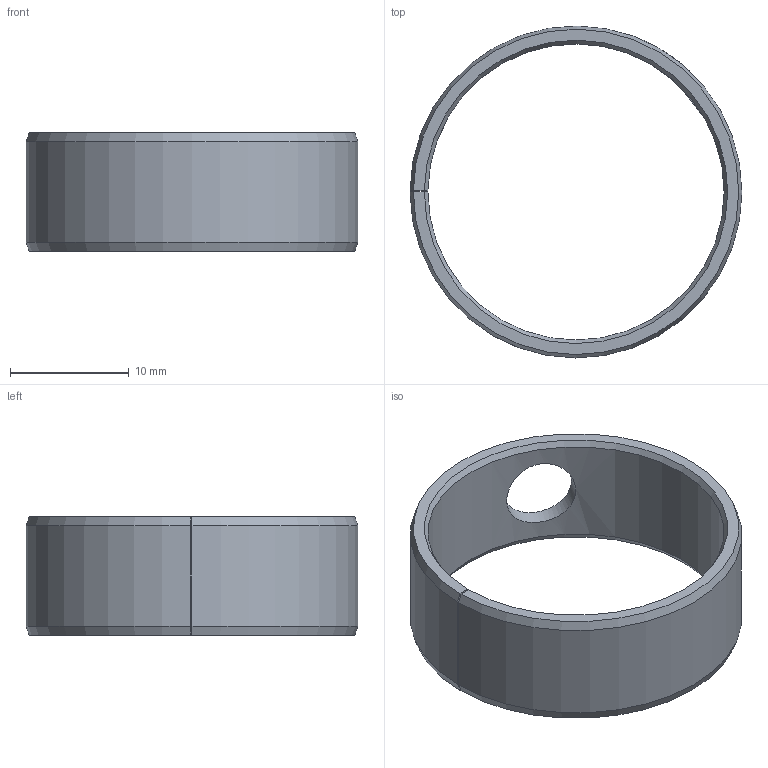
import math

import cadquery as cq

outer_diameter = 28.0
inner_diameter = 25.0
width = 10.0

outer_bevel_length = 0.75
outer_bevel_angle = 20.0
inner_bevel_length = 0.5
inner_bevel_depth = 0.3

split_angle = 0.5

hole_diameter = 6.0
hole_angle = 59.0

outer_radius = outer_diameter / 2
inner_radius = inner_diameter / 2
wall = outer_radius - inner_radius
half_width = width / 2
outer_bevel_depth = outer_bevel_length * math.tan(math.radians(outer_bevel_angle))


def make_split_ring():
    """Revolve the bevelled wall section about Z from the -X axis, stopping short by the split."""
    rim_outer = outer_radius - outer_bevel_depth
    rim_inner = inner_radius + inner_bevel_depth
    outer_bevel_z = half_width - outer_bevel_length
    inner_bevel_z = half_width - inner_bevel_length
    section = [
        (-rim_inner, -half_width),
        (-rim_outer, -half_width),
        (-outer_radius, -outer_bevel_z),
        (-outer_radius, outer_bevel_z),
        (-rim_outer, half_width),
        (-rim_inner, half_width),
        (-inner_radius, inner_bevel_z),
        (-inner_radius, -inner_bevel_z),
    ]
    profile = cq.Workplane("XZ").polyline(section).close()
    return profile.revolve(360 - split_angle, (0, 0, 0), (0, 1, 0))


def make_hole_cutter():
    """Radial cylinder from the ring axis out through one side of the wall."""
    cutter = cq.Workplane("YZ").circle(hole_diameter / 2).extrude(outer_radius + wall)
    return cutter.rotate((0, 0, 0), (0, 0, 1), hole_angle)


result = make_split_ring().cut(make_hole_cutter())